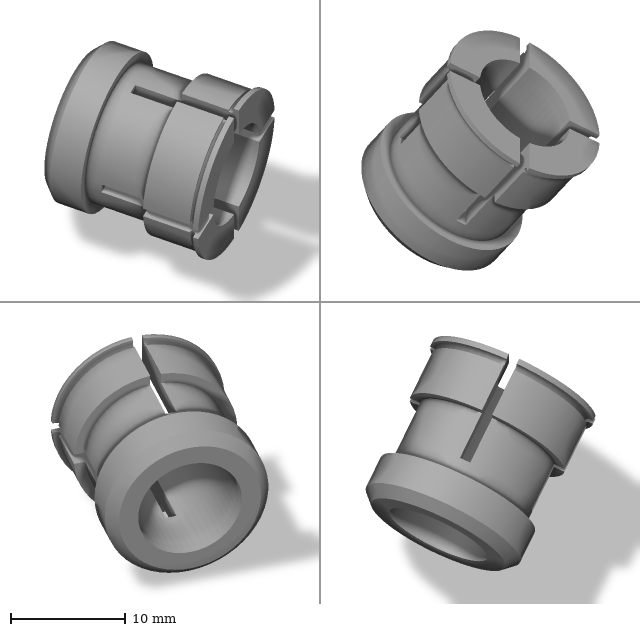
import cadquery as cq
import math

length = 15.5
nose_chamfer = 1.0
collar_end = 4.0
slot_start = 5.5
land_start = 10.0
groove_start = 14.51
rim_start = 15.0

bore_diameter = 9.5
neck_diameter = 13.0
land_diameter = 15.0
groove_diameter = 14.52
rim_diameter = 15.8

slot_width = 1.0
groove_arc_radius = 0.3

bore_radius = bore_diameter / 2
neck_radius = neck_diameter / 2
land_radius = land_diameter / 2
groove_radius = groove_diameter / 2
rim_radius = rim_diameter / 2

groove_center_x = rim_start - groove_arc_radius
groove_center_radius = groove_radius + groove_arc_radius
groove_entry_drop = math.sqrt(groove_arc_radius**2 - (groove_center_x - groove_start)**2)
groove_entry_radius = groove_center_radius - groove_entry_drop


def sleeve_body():
    """Revolve the wall section, drawn as (x, radius), about the X axis."""
    section = (
        cq.Workplane("XY")
        .moveTo(0, bore_radius)
        .lineTo(0, land_radius - nose_chamfer)
        .lineTo(nose_chamfer, land_radius)
        .lineTo(collar_end, land_radius)
        .lineTo(collar_end, neck_radius)
        .lineTo(land_start, neck_radius)
        .lineTo(land_start, land_radius)
        .lineTo(groove_start, land_radius)
        .lineTo(groove_start, groove_entry_radius)
        .threePointArc((groove_center_x, groove_radius), (rim_start, groove_center_radius))
        .lineTo(rim_start, rim_radius)
        .lineTo(length, rim_radius)
        .lineTo(length, bore_radius)
        .close()
    )
    return section.revolve(360, (0, 0, 0), (1, 0, 0))


def cross_slots():
    """Two perpendicular slots that split the rim end into four fingers."""
    slot_length = length - slot_start
    slot_middle = slot_start + slot_length / 2
    slots = cq.Workplane("XY")
    for y_size, z_size in ((rim_diameter, slot_width), (slot_width, rim_diameter)):
        slot = cq.Workplane("XY").box(slot_length, y_size, z_size)
        slots = slots.union(slot.translate((slot_middle, 0, 0)))
    return slots


result = sleeve_body().cut(cross_slots())